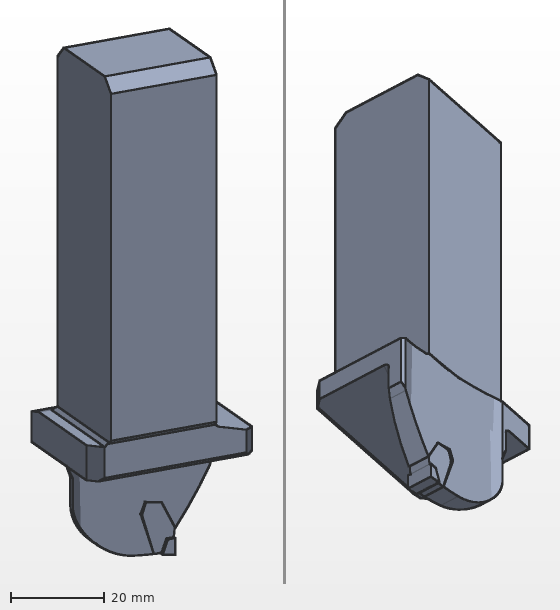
import cadquery as cq

shank_side = 25.4
shank_x_max = 29.9
shank_x_min = shank_x_max - shank_side
shank_y_min = 4.0
shank_y_max = shank_y_min + shank_side
total_height = 119.6
top_chamfer = 3.0

head_x_max = 28.8
head_y_max = 39.8
head_bottom = 27.5
head_top = 35.5
head_corner_chamfer = 2.9
head_bottom_chamfer = 1.0
side_ledge_top = 34.5
rear_ledge_top = 32.9
neck_flare = 1.0
neck_top = head_top + neck_flare
shank_overhang = shank_x_max - head_x_max
shank_bevel = shank_overhang - 0.01
neck_height = 0.7
head_join = neck_top + neck_height

inner_arc_start = (0, 9.5)
inner_arc_middle = (3.6, 20.6)
inner_arc_end = (3.3, 39.1)
rear_corner = (4.0, head_y_max)

blade_y_min = 8.3
blade_land_y = 9.3
blade_taper_top = 20.9
blade_taper_bottom = 18.0
blade_bottom = 0.7
nose_radius = 11.0
outer_arc_middle = (7.9, 19.1)
outer_arc_end = (7.3, head_y_max)
rear_taper_top = 20.1
rear_taper_corner = (38.9, 18.0)
root_flare = 1.2

insert_y_max = 29.4
insert_heel = (29.7, 6.0)
insert_shoulder = (26.4, 12.3)
insert_end = (22.7, 12.9)
insert_end_bevel = (21.8, 10.2)
insert_toe_y = 24.6
insert_x_min = 4.3
insert_x_max = 9.5
tip_x_min = 4.0
tip_x_max = 10.2
tip_height = 3.8
tip_top_y = 27.6
tip_bottom_y = 26.4
tip_relief = 0.5

insert_outline = [
    (insert_y_max, 0),
    (insert_y_max, tip_height),
    insert_heel,
    insert_shoulder,
    insert_end,
    insert_end_bevel,
    (insert_toe_y, blade_bottom),
    (tip_bottom_y, blade_bottom),
    (tip_bottom_y, tip_relief),
]
tip_outline = [
    (insert_y_max, 0),
    (insert_y_max, tip_height),
    (tip_top_y, tip_height),
    (tip_bottom_y, blade_bottom),
    (tip_bottom_y, tip_relief),
]


def make_shank():
    bar_bottom = head_join - shank_overhang
    bar = (
        cq.Workplane("XY")
        .box(shank_side, shank_side, total_height - bar_bottom, centered=False)
        .translate((shank_x_min, shank_y_min, bar_bottom))
    )
    bar = bar.faces(">Z").edges("|Y").chamfer(top_chamfer)
    return bar.faces("<Z").edges(">X").chamfer(shank_bevel)


def make_head():
    """Intersect the plan outline with the two side outlines, which hold the sloping ledges and neck."""
    plan = (
        cq.Workplane("XY", origin=(0, 0, head_bottom))
        .lineTo(*inner_arc_start)
        .threePointArc(inner_arc_middle, inner_arc_end)
        .lineTo(*rear_corner)
        .lineTo(head_x_max - head_corner_chamfer, head_y_max)
        .lineTo(head_x_max, head_y_max - head_corner_chamfer)
        .lineTo(head_x_max, head_corner_chamfer)
        .lineTo(head_x_max - head_corner_chamfer, 0)
        .close()
        .extrude(head_join - head_bottom)
    )
    x_outline = [
        (0, head_bottom),
        (0, side_ledge_top),
        (shank_x_min - neck_flare, head_top),
        (shank_x_min, neck_top),
        (shank_x_min, head_join),
        (head_x_max, head_join),
        (head_x_max, head_bottom + head_bottom_chamfer),
        (head_x_max - head_bottom_chamfer, head_bottom),
    ]
    y_outline = [
        (0, head_bottom),
        (0, head_top),
        (shank_y_min - neck_flare, head_top),
        (shank_y_min, neck_top),
        (shank_y_min, head_join),
        (shank_y_max, head_join),
        (shank_y_max, neck_top),
        (shank_y_max + neck_flare, head_top),
        (head_y_max, rear_ledge_top),
        (head_y_max, head_bottom),
    ]
    x_prism = cq.Workplane("XZ").polyline(x_outline).close().extrude(-head_y_max)
    y_prism = cq.Workplane("YZ").polyline(y_outline).close().extrude(head_x_max)
    return plan.intersect(x_prism).intersect(y_prism)


def make_blade():
    """Curved wall with a rounded nose and a sloping rear edge."""
    wall = (
        cq.Workplane("XY")
        .moveTo(0, blade_y_min)
        .lineTo(*inner_arc_start)
        .threePointArc(inner_arc_middle, inner_arc_end)
        .lineTo(*rear_corner)
        .lineTo(*outer_arc_end)
        .threePointArc(outer_arc_middle, (0, blade_y_min))
        .close()
        .extrude(head_bottom)
    )
    side = (
        cq.Workplane("YZ")
        .moveTo(blade_y_min, head_bottom)
        .lineTo(blade_y_min, blade_taper_top)
        .lineTo(blade_land_y, blade_taper_bottom)
        .lineTo(blade_land_y, blade_bottom + nose_radius)
        .radiusArc((blade_land_y + nose_radius, blade_bottom), -nose_radius)
        .lineTo(tip_bottom_y, blade_bottom)
        .lineTo(*insert_heel)
        .lineTo(*rear_taper_corner)
        .lineTo(head_y_max, rear_taper_top)
        .lineTo(head_y_max, head_bottom)
        .close()
        .extrude(shank_x_max)
    )
    return wall.intersect(side)


def side_prism(points, x_min, x_max):
    """Extrude a YZ outline between two X positions."""
    return cq.Workplane("YZ", origin=(x_min, 0, 0)).polyline(points).close().extrude(x_max - x_min)


def make_insert():
    body = side_prism(insert_outline, insert_x_min, insert_x_max)
    return body.union(side_prism(tip_outline, tip_x_min, tip_x_max))


def make_holder():
    body = make_head().union(make_blade())
    root_margin = 0.1
    root_box = cq.selectors.BoxSelector(
        (0, 0, head_bottom - root_margin), (head_x_max, head_y_max, head_bottom + root_margin)
    )
    body = body.edges(root_box).edges("%CIRCLE").fillet(root_flare)
    pocket = side_prism(insert_outline, 0, shank_x_max)
    return body.union(make_shank()).cut(pocket)


holder = make_holder()
insert = make_insert()
result = cq.Compound.makeCompound([holder.val(), insert.val()])